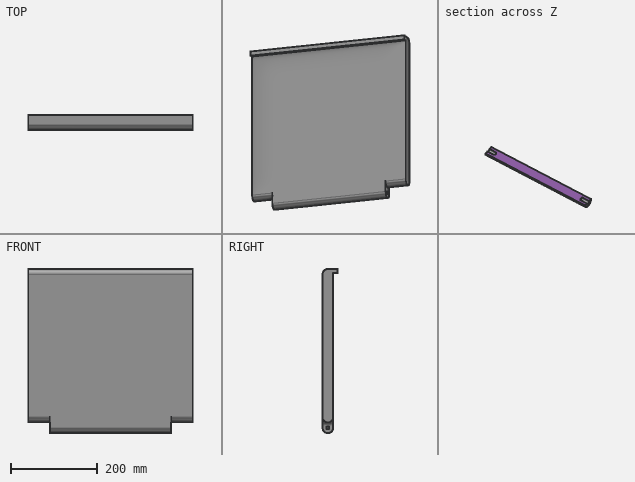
import cadquery as cq

width = 380.0
height = 379.39
thickness = 25.0
lip_overhang = 10.0
lip_height = 10.0
notch_width = 50.0
notch_height = 25.0
pivot_diameter = 7.5
pivot_depth = 20.0

round_radius = thickness / 2
tongue_width = width - 2 * notch_width
top_z = height - round_radius


def rounded_panel(panel_width, round_center_z):
    """Panel with a lip along its top back edge and a full round along its bottom edge."""
    front_y = -round_radius
    back_y = round_radius
    profile = (
        cq.Workplane("YZ")
        .moveTo(front_y, round_center_z)
        .lineTo(front_y, top_z - round_radius)
        .radiusArc((front_y + round_radius, top_z), round_radius)
        .lineTo(back_y + lip_overhang, top_z)
        .lineTo(back_y + lip_overhang, top_z - lip_height)
        .lineTo(back_y, top_z - lip_height)
        .lineTo(back_y, round_center_z)
        .threePointArc((0, round_center_z - round_radius), (front_y, round_center_z))
        .close()
    )
    return profile.extrude(panel_width / 2, both=True)


def pivot_hole(side):
    """Blind pivot hole cutter entering one end of the tongue; side is -1 or +1."""
    return (
        cq.Workplane("YZ")
        .workplane(offset=side * tongue_width / 2)
        .circle(pivot_diameter / 2)
        .extrude(-side * pivot_depth)
    )


result = rounded_panel(width, notch_height).union(rounded_panel(tongue_width, 0))

for end_side in (-1, 1):
    result = result.cut(pivot_hole(end_side))